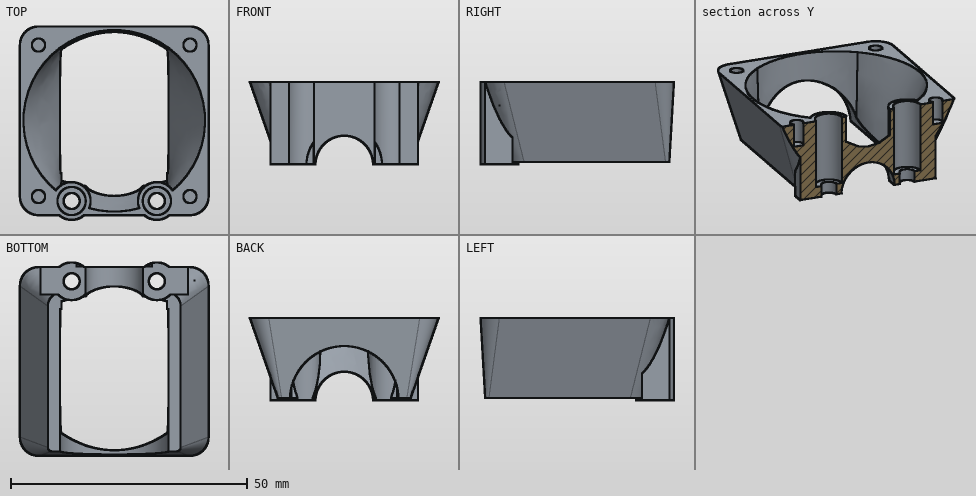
import cadquery as cq
import math

height = 17.5
flange_width = 40.0
flange_half = flange_width / 2
flange_corner_radius = 4.0

duct_bottom = 0.5
duct_bottom_half_width = 14.05
duct_bottom_back = 19.0
duct_bottom_front = -14.6
duct_back_corner_radius = 0.8
duct_front_corner_radius = 2.85

bore_radius = 19.22
bore_corner_x = 11.55
bore_corner_y = math.sqrt(bore_radius**2 - bore_corner_x**2)
passage_half_width = 11.15
passage_back = 17.9
passage_back_corner_y = 15.1
passage_front = -14.22
passage_front_corner_y = -12.7

outlet_radius = 11.5
outlet_front = -11.05

block_half_width = 15.65
block_back = -14.22
boss_x = 9.0
boss_y = -16.95
boss_radius = 4.0
screw_head_radius = 3.0
screw_hole_radius = 1.7
screw_seat_height = 2.5

notch_radius = 6.05
relief_radius = 8.0
relief_wall_offset = 0.12
notch_inner_y = boss_y + boss_radius
boss_front = boss_y - boss_radius

corner_hole_offset = 16.03
corner_hole_radius = 1.4
corner_hole_depth = 5.0


def rounded_outline(z, half_width, back, front, back_radius, front_radius):
    """Closed outline with separate radii on the back and front corners."""
    diagonal = 1 - math.sqrt(0.5)
    back_inset = back_radius * diagonal
    front_inset = front_radius * diagonal
    return (
        cq.Workplane("XY", origin=(0, 0, z))
        .moveTo(-half_width, front + front_radius)
        .lineTo(-half_width, back - back_radius)
        .threePointArc((-half_width + back_inset, back - back_inset), (-half_width + back_radius, back))
        .lineTo(half_width - back_radius, back)
        .threePointArc((half_width - back_inset, back - back_inset), (half_width, back - back_radius))
        .lineTo(half_width, front + front_radius)
        .threePointArc((half_width - front_inset, front + front_inset), (half_width - front_radius, front))
        .lineTo(-half_width + front_radius, front)
        .threePointArc((-half_width + front_inset, front + front_inset), (-half_width, front + front_radius))
        .close()
        .val()
    )


def duct_body():
    bottom = rounded_outline(
        duct_bottom,
        duct_bottom_half_width,
        duct_bottom_back,
        duct_bottom_front,
        duct_back_corner_radius,
        duct_front_corner_radius,
    )
    top = rounded_outline(
        height, flange_half, flange_half, -flange_half, flange_corner_radius, flange_corner_radius
    )
    return cq.Workplane(cq.Solid.makeLoft([bottom, top], True))


def air_passage():
    """Ruled loft whose four corners lie on the bore circle at the top."""
    bottom = (
        cq.Workplane("XY", origin=(0, 0, duct_bottom))
        .moveTo(-passage_half_width, passage_front_corner_y)
        .lineTo(-passage_half_width, passage_back_corner_y)
        .threePointArc((0, passage_back), (passage_half_width, passage_back_corner_y))
        .lineTo(passage_half_width, passage_front_corner_y)
        .threePointArc((0, passage_front), (-passage_half_width, passage_front_corner_y))
        .close()
        .val()
    )
    top = (
        cq.Workplane("XY", origin=(0, 0, height))
        .moveTo(-bore_corner_x, -bore_corner_y)
        .threePointArc((-bore_radius, 0), (-bore_corner_x, bore_corner_y))
        .threePointArc((0, bore_radius), (bore_corner_x, bore_corner_y))
        .threePointArc((bore_radius, 0), (bore_corner_x, -bore_corner_y))
        .threePointArc((0, -bore_radius), (-bore_corner_x, -bore_corner_y))
        .close()
        .val()
    )
    loft = cq.Workplane(cq.Solid.makeLoft([bottom, top], True))
    exit_prism = cq.Workplane(cq.Solid.extrudeLinear(bottom, [], cq.Vector(0, 0, -duct_bottom)))
    return loft.union(exit_prism)


def mounting_block():
    depth = block_back + flange_half
    return cq.Workplane("XY").box(
        2 * block_half_width, depth, height, centered=(True, False, False)
    ).translate((0, -flange_half, 0))


def vertical_cylinders(points, radius, bottom, length):
    return cq.Workplane("XY", origin=(0, 0, bottom)).pushPoints(points).circle(radius).extrude(length)


def arch(radius, front, back):
    """Cylinder along Y, centred on the bottom plane."""
    return cq.Workplane("XZ", origin=(0, back, 0)).circle(radius).extrude(back - front)


boss_points = [(-boss_x, boss_y), (boss_x, boss_y)]
corner_points = [
    (x, y)
    for x in (-corner_hole_offset, corner_hole_offset)
    for y in (-corner_hole_offset, corner_hole_offset)
]

result = duct_body().union(mounting_block()).cut(air_passage())
result = result.cut(arch(outlet_radius, outlet_front, flange_half))
result = result.union(vertical_cylinders(boss_points, boss_radius, 0, height))

result = result.cut(vertical_cylinders(boss_points, screw_hole_radius, 0, height))
result = result.cut(
    vertical_cylinders(boss_points, screw_head_radius, screw_seat_height, height - screw_seat_height)
)

result = result.cut(arch(notch_radius, boss_front, notch_inner_y))
result = result.cut(arch(relief_radius, boss_front, -flange_half - relief_wall_offset))

result = result.cut(
    vertical_cylinders(corner_points, corner_hole_radius, height - corner_hole_depth, corner_hole_depth)
)